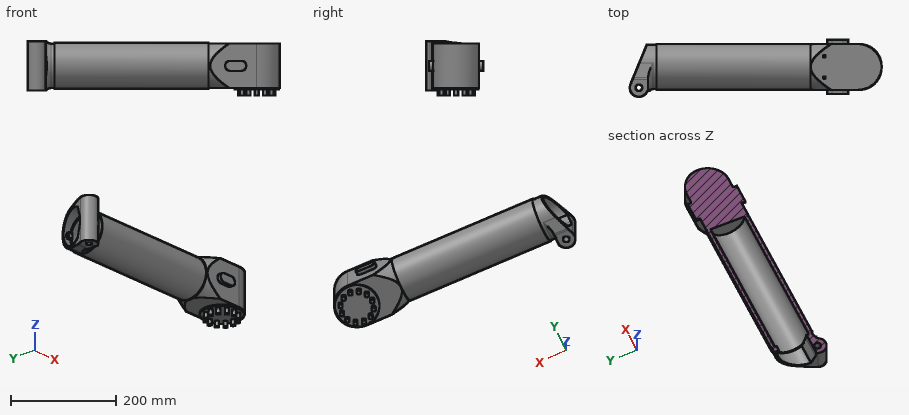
import cadquery as cq
import math

total_length = 480

tube_radius = 88.0 / 2
collar_radius = 85.0 / 2
tube_start = 51.0
tube_end = 345.0

head_half_width = tube_radius
head_half_height = collar_radius
head_axis_x = total_length - head_half_width
cone_growth = 0.48
cone_length = 48

plate_radius = collar_radius
plate_thickness = 3.0
pin_diameter = 8.0
pin_circle_radius = 31.5
pin_count = 12
pin_reach = 56.5

pad_length = 40.5
pad_width = 19
pad_x = 396.0
pad_reach = 52.0
top_hole_diameter = 5
top_hole_x = 370.5
top_hole_y = 20.0
top_hole_depth = 5

barrel_radius = 35.0 / 2
barrel_x = barrel_radius
barrel_reach = 57.0
barrel_y = barrel_radius - barrel_reach
barrel_half_height = 47.0
barrel_hole_diameter = 12.0
slant_angle = math.radians(22.5)
web_back_angle = math.radians(34)
web_back_y = -46.0
web_end_x = 2 * barrel_radius
flare_radius = 9.0
web_slope = math.radians(10)
web_bend_radius = 18.5

clearance = 5

socket_radius = 38.0
socket_floor_x = 49.0
core_radius = 70.0 / 2
relief_corner_y = -20.5
relief_shoulder_y = -29
relief_shoulder_z = 9.5
relief_apex_y = -30.3

key_half_width = 6.0
key_inner_y = 31.5
key_outer_y = (socket_radius + collar_radius) / 2
key_front_x = 39.5
key_pin_diameter = 5


def x_cylinder(radius, start, end):
    return cq.Workplane("YZ", origin=(start, 0, 0)).circle(radius).extrude(end - start)


def make_head():
    block = (
        cq.Workplane("XY", origin=(0, 0, -head_half_height))
        .moveTo(tube_end, -head_half_width)
        .lineTo(head_axis_x, -head_half_width)
        .threePointArc((total_length, 0), (head_axis_x, head_half_width))
        .lineTo(tube_end, head_half_width)
        .close()
        .extrude(2 * head_half_height)
    )
    cone_end = tube_end + cone_length
    cone_end_radius = collar_radius + cone_growth * cone_length
    envelope = (
        cq.Workplane("XY")
        .moveTo(tube_end, 0)
        .lineTo(tube_end, collar_radius)
        .lineTo(cone_end, cone_end_radius)
        .lineTo(total_length, cone_end_radius)
        .lineTo(total_length, 0)
        .close()
        .revolve(360, (0, 0, 0), (1, 0, 0))
    )
    head = block.intersect(envelope)
    pads = (
        cq.Workplane("XZ", origin=(pad_x, pad_reach, 0))
        .slot2D(pad_length, pad_width)
        .extrude(2 * pad_reach)
    )
    top_holes = (
        cq.Workplane("XY", origin=(0, 0, head_half_height))
        .pushPoints([(top_hole_x, -top_hole_y), (top_hole_x, top_hole_y)])
        .circle(top_hole_diameter / 2)
        .extrude(-top_hole_depth)
    )
    return head.union(pads).cut(top_holes)


def make_connector():
    plate = (
        cq.Workplane("XY", origin=(head_axis_x, 0, -head_half_height))
        .circle(plate_radius)
        .extrude(-plate_thickness)
    )
    pins = (
        cq.Workplane("XY", origin=(head_axis_x, 0, -head_half_height))
        .polarArray(pin_circle_radius, 0, 360, pin_count)
        .circle(pin_diameter / 2)
        .extrude(head_half_height - pin_reach)
    )
    return plate.union(pins)


def make_hinge_plan():
    """Plan of the hinge end: barrel, slanted end face and the web's back face."""
    slant_x = barrel_x - barrel_radius * math.cos(slant_angle)
    slant_y = barrel_y + barrel_radius * math.sin(slant_angle)
    slant_end_x = slant_x + (tube_radius - slant_y) * math.tan(slant_angle)
    back_x = barrel_x + barrel_radius * math.cos(web_back_angle)
    back_y = barrel_y - barrel_radius * math.sin(web_back_angle)
    back_end_x = back_x + (web_back_y - back_y) * math.tan(web_back_angle)
    return (
        cq.Workplane("XY", origin=(0, 0, -barrel_half_height))
        .moveTo(slant_x, slant_y)
        .threePointArc((barrel_x, -barrel_reach), (back_x, back_y))
        .lineTo(back_end_x, web_back_y)
        .lineTo(tube_start, web_back_y)
        .lineTo(tube_start, tube_radius)
        .lineTo(slant_end_x, tube_radius)
        .close()
        .extrude(2 * barrel_half_height)
    )


def make_web_section():
    """Cross-section of the web: its sloping faces are tangent to the collar."""
    touch_y = collar_radius * math.sin(web_slope)
    touch_z = collar_radius * math.cos(web_slope)
    crest_y = touch_y - (barrel_half_height - touch_z) / math.tan(web_slope)
    bend_reach = web_bend_radius * math.tan(web_slope / 2)
    bend_start_y = crest_y + bend_reach * math.cos(web_slope)
    bend_start_z = barrel_half_height - bend_reach * math.sin(web_slope)
    bend_end_y = crest_y - bend_reach
    bend_centre_z = barrel_half_height - web_bend_radius
    bend_mid_y = bend_end_y + web_bend_radius * math.sin(web_slope / 2)
    bend_mid_z = bend_centre_z + web_bend_radius * math.cos(web_slope / 2)
    outer_y = -barrel_reach - clearance
    return (
        cq.Workplane("YZ", origin=(-clearance, 0, 0))
        .moveTo(touch_y, -touch_z)
        .lineTo(touch_y, touch_z)
        .lineTo(bend_start_y, bend_start_z)
        .threePointArc((bend_mid_y, bend_mid_z), (bend_end_y, barrel_half_height))
        .lineTo(outer_y, barrel_half_height)
        .lineTo(outer_y, -barrel_half_height)
        .lineTo(bend_end_y, -barrel_half_height)
        .threePointArc((bend_mid_y, -bend_mid_z), (bend_start_y, -bend_start_z))
        .close()
        .extrude(tube_start + clearance)
    )


def make_flare():
    """Round envelope that blends the web's back face into the collar."""
    flare_end_x = web_end_x + flare_radius
    flare_top = collar_radius + flare_radius
    outer = 2 * collar_radius
    bow = flare_radius * math.sqrt(0.5)
    return (
        cq.Workplane("XY")
        .moveTo(-clearance, 0)
        .lineTo(-clearance, outer)
        .lineTo(web_end_x, outer)
        .lineTo(web_end_x, flare_top)
        .threePointArc((flare_end_x - bow, flare_top - bow), (flare_end_x, collar_radius))
        .lineTo(flare_end_x, 0)
        .close()
        .revolve(360, (0, 0, 0), (1, 0, 0))
    )


def make_hinge():
    plan = make_hinge_plan()
    web = make_web_section().intersect(plan).intersect(make_flare())
    collar = x_cylinder(collar_radius, -clearance, tube_start).intersect(plan)
    hole = (
        cq.Workplane("XY", origin=(barrel_x, barrel_y, -barrel_half_height))
        .circle(barrel_hole_diameter / 2)
        .extrude(2 * barrel_half_height)
    )
    return collar.union(web).cut(hole)


def make_socket():
    corner_z = math.sqrt(socket_radius**2 - relief_corner_y**2)
    opening = (
        cq.Workplane("YZ")
        .moveTo(relief_corner_y, -corner_z)
        .threePointArc((socket_radius, 0), (relief_corner_y, corner_z))
        .lineTo(relief_shoulder_y, relief_shoulder_z)
        .threePointArc((relief_apex_y, 0), (relief_shoulder_y, -relief_shoulder_z))
        .close()
        .extrude(socket_floor_x)
    )
    return opening.union(x_cylinder(core_radius, socket_floor_x, tube_end))


def make_key():
    key_length = socket_floor_x - key_front_x
    key_height = key_outer_y - key_inner_y
    middle_y = (key_outer_y + key_inner_y) / 2
    block = cq.Workplane("XY").box(key_length, key_height, 2 * key_half_width)
    block = block.translate((socket_floor_x - key_length / 2, middle_y, 0))
    pin = (
        cq.Workplane("XZ", origin=(key_front_x, key_inner_y, 0))
        .circle(key_pin_diameter / 2)
        .extrude(-key_height)
    )
    return block.union(pin)


result = (
    x_cylinder(tube_radius, tube_start, tube_end)
    .union(make_hinge())
    .cut(make_socket())
    .union(make_key())
    .union(make_head())
    .union(make_connector())
)